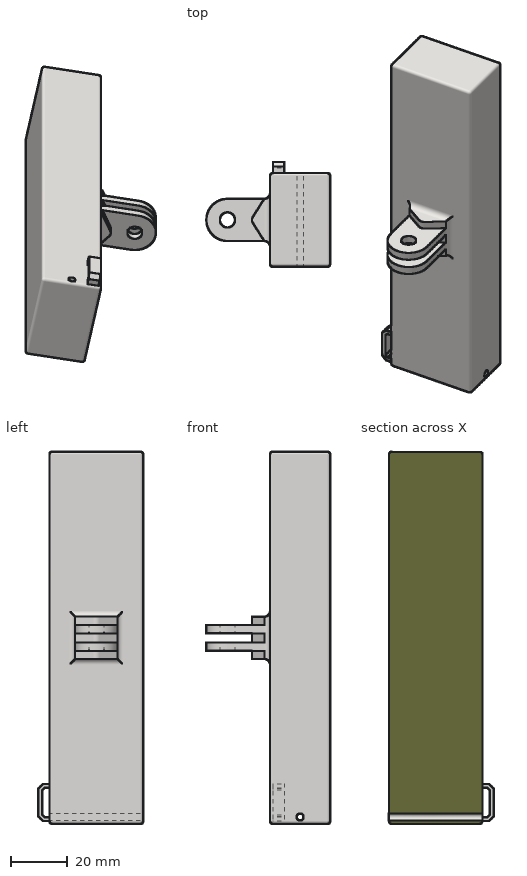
import cadquery as cq

CASE_WIDTH = 21.3
CASE_DEPTH = 33.1
CASE_HEIGHT = 131.2
EDGE_RADIUS = 1.0
CASE_LEFT = -CASE_WIDTH / 2
CASE_BACK = CASE_DEPTH / 2
CASE_BOTTOM = -CASE_HEIGHT / 2

MOUNT_SIZE = 15.0
MOUNT_REACH = 22.5
BASE_COVE = 2.0
RIDGE_REACH = 6.7
RIDGE_RADIUS = 2.0
PRONG_THICKNESS = 3.0
PRONG_PITCH = 6.2
PIVOT_HOLE = 5.2

LOOP_WIDTH = 4.1
LOOP_HEIGHT = 13.1
LOOP_REACH = 4.0
LOOP_WALL = 1.5
LOOP_CHAMFER = 1.7
LOOP_INNER_CHAMFER = 0.8

PIN_HOLE = 2.4
PIN_HOLE_RISE = 2.5


def make_case():
    return cq.Workplane("XY").box(CASE_WIDTH, CASE_DEPTH, CASE_HEIGHT).edges().fillet(EDGE_RADIUS)


def make_mount_base():
    """Square foot with a concave flare where it spreads onto the case wall."""
    half_size = MOUNT_SIZE / 2
    half_foot = half_size + BASE_COVE
    cove_end = CASE_LEFT - BASE_COVE

    def flared_profile(plane):
        return (
            cq.Workplane(plane)
            .moveTo(CASE_LEFT + EDGE_RADIUS, -half_foot)
            .lineTo(CASE_LEFT, -half_foot)
            .radiusArc((cove_end, -half_size), -BASE_COVE)
            .lineTo(cove_end, half_size)
            .radiusArc((CASE_LEFT, half_foot), -BASE_COVE)
            .lineTo(CASE_LEFT + EDGE_RADIUS, half_foot)
            .close()
            .extrude(half_foot, both=True)
        )

    return flared_profile("XY").intersect(flared_profile("XZ"))


def make_ridge():
    """Wedge that closes the gaps beside the prongs, with a rounded crest."""
    half_size = MOUNT_SIZE / 2
    foot = CASE_LEFT - BASE_COVE
    return (
        cq.Workplane("XY")
        .moveTo(CASE_LEFT, -half_size)
        .lineTo(foot, -half_size)
        .lineTo(CASE_LEFT - RIDGE_REACH, 0)
        .lineTo(foot, half_size)
        .lineTo(CASE_LEFT, half_size)
        .close()
        .extrude(half_size, both=True)
        .edges("|Z and <X")
        .fillet(RIDGE_RADIUS)
    )


def make_prong(center_height):
    half_size = MOUNT_SIZE / 2
    tip = CASE_LEFT - MOUNT_REACH
    pivot = tip + half_size
    return (
        cq.Workplane("XY")
        .workplane(offset=center_height)
        .moveTo(CASE_LEFT, -half_size)
        .lineTo(pivot, -half_size)
        .threePointArc((tip, 0), (pivot, half_size))
        .lineTo(CASE_LEFT, half_size)
        .close()
        .moveTo(pivot, 0)
        .circle(PIVOT_HOLE / 2)
        .extrude(PRONG_THICKNESS / 2, both=True)
    )


def make_strap_loop():
    """Bevelled frame whose open side is closed by the case wall."""
    left = CASE_LEFT + EDGE_RADIUS
    bottom = CASE_BOTTOM + EDGE_RADIUS

    def bevelled_block(inset, root, chamfer):
        return (
            cq.Workplane("XY")
            .box(
                LOOP_WIDTH,
                CASE_BACK + LOOP_REACH - inset - root,
                LOOP_HEIGHT - 2 * inset,
                centered=False,
            )
            .edges("|X and >Y")
            .chamfer(chamfer)
            .translate((left, root, bottom + inset))
        )

    frame = bevelled_block(0, CASE_BACK - EDGE_RADIUS, LOOP_CHAMFER)
    opening = bevelled_block(LOOP_WALL, CASE_BACK, LOOP_INNER_CHAMFER)
    return frame.cut(opening)


def make_pin_hole():
    return (
        cq.Workplane("XZ")
        .center(0, CASE_BOTTOM + PIN_HOLE_RISE)
        .circle(PIN_HOLE / 2)
        .extrude(CASE_DEPTH, both=True)
    )


result = make_case().union(make_mount_base()).union(make_ridge())
for side in (-1, 1):
    result = result.union(make_prong(side * PRONG_PITCH / 2))
result = result.union(make_strap_loop()).cut(make_pin_hole())